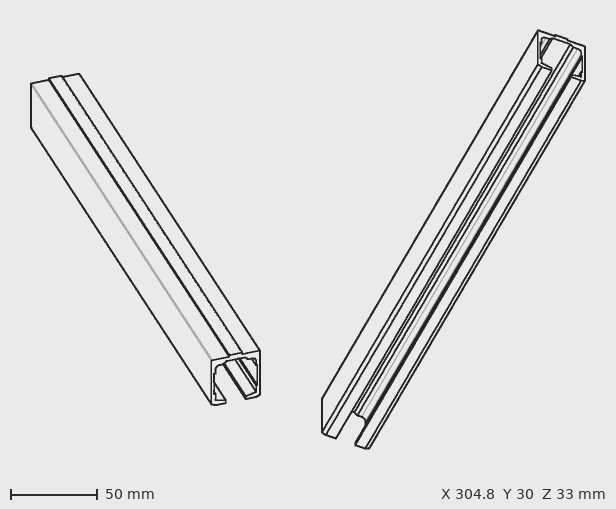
import cadquery as cq

LENGTH = 304.8
WIDTH = 30.0
HEIGHT = 33.0
half_width = WIDTH / 2

STRIP_WIDTH = 8.0
STRIP_HEIGHT = 1.1
roof_z = HEIGHT - STRIP_HEIGHT

WALL = 2.5
RECESS_DEPTH = 0.8
RECESS_BOTTOM_Z = 8.0
RECESS_TOP_Z = 22.0
wall_y = half_width - WALL
recess_y = wall_y + RECESS_DEPTH

CEILING_Z = 29.2
CEILING_HALF_WIDTH = 5.6
LEDGE_Z = 27.4
LEDGE_INNER_Y = 7.5
CAVITY_CORNER_RADIUS = 2.5

SLOT_WIDTH = 12.2
LIP_EDGE_HEIGHT = 2.0
LIP_ROOT_HEIGHT = 3.6

TOP_EDGE_RADIUS = 0.5
BOTTOM_BEVEL_HEIGHT = 1.2
BOTTOM_BEVEL_WIDTH = 2.5


def outer_bar():
    """Solid bar with the roof strip, rounded top edges and beveled bottom edges."""
    outline = [
        (half_width - BOTTOM_BEVEL_WIDTH, 0),
        (half_width, BOTTOM_BEVEL_HEIGHT),
        (half_width, roof_z),
        (-half_width, roof_z),
        (-half_width, BOTTOM_BEVEL_HEIGHT),
        (-half_width + BOTTOM_BEVEL_WIDTH, 0),
    ]
    bar = (
        cq.Workplane("YZ")
        .polyline(outline)
        .close()
        .extrude(LENGTH / 2, both=True)
        .edges("|X and >Z")
        .fillet(TOP_EDGE_RADIUS)
    )
    strip = cq.Workplane("XY").box(LENGTH, STRIP_WIDTH, HEIGHT, centered=(True, True, False))
    return bar.union(strip)


def half_cavity():
    """Half of the hollow and slot on the +Y side of the middle plane."""
    outline = (
        cq.Workplane("YZ")
        .moveTo(0, 0)
        .lineTo(SLOT_WIDTH / 2, 0)
        .lineTo(SLOT_WIDTH / 2, LIP_EDGE_HEIGHT)
        .lineTo(wall_y, LIP_ROOT_HEIGHT)
        .lineTo(wall_y, RECESS_BOTTOM_Z)
        .lineTo(recess_y, RECESS_BOTTOM_Z)
        .lineTo(recess_y, RECESS_TOP_Z)
        .lineTo(wall_y, RECESS_TOP_Z)
        .lineTo(wall_y, LEDGE_Z - CAVITY_CORNER_RADIUS)
        .radiusArc((wall_y - CAVITY_CORNER_RADIUS, LEDGE_Z), -CAVITY_CORNER_RADIUS)
        .lineTo(LEDGE_INNER_Y, LEDGE_Z)
        .lineTo(CEILING_HALF_WIDTH, CEILING_Z)
        .lineTo(0, CEILING_Z)
        .close()
    )
    return outline.extrude(LENGTH / 2, both=True)


cavity_side = half_cavity()
result = outer_bar().cut(cavity_side).cut(cavity_side.mirror("XZ"))